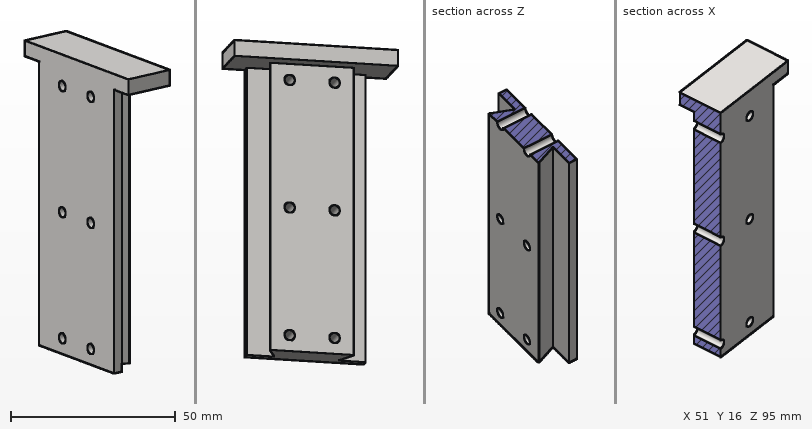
import cadquery as cq
import math

head_width = 51.0
head_depth = 16.0
head_height = 5.0

plate_width = 37.0
plate_thickness = 3.0
total_height = 95.0

rail_width = 26.0
rail_back = 10.5
rail_lip = 0.5
flank_angle = 67.5

hole_diameter = 3.2
hole_columns = 2
hole_rows = 3
column_spacing = 14.0
row_spacing = 40.0
bottom_row_height = 5.0


def make_head():
    return (
        cq.Workplane("XY")
        .workplane(offset=total_height - head_height)
        .rect(head_width, head_depth)
        .extrude(head_height)
        .translate((0, head_depth / 2, 0))
    )


def make_plate():
    return (
        cq.Workplane("XY")
        .rect(plate_width, plate_thickness)
        .extrude(total_height)
        .translate((0, plate_thickness / 2, 0))
    )


def make_rail():
    lip_start = rail_back - rail_lip
    flank_inset = (lip_start - plate_thickness) / math.tan(math.radians(flank_angle))
    outer = rail_width / 2
    neck = outer - flank_inset
    profile = [
        (-neck, plate_thickness),
        (-outer, lip_start),
        (-outer, rail_back),
        (outer, rail_back),
        (outer, lip_start),
        (neck, plate_thickness),
    ]
    return cq.Workplane("XY").polyline(profile).close().extrude(total_height)


def make_holes():
    middle_row_height = bottom_row_height + row_spacing * (hole_rows - 1) / 2
    return (
        cq.Workplane("XZ")
        .center(0, middle_row_height)
        .rarray(column_spacing, row_spacing, hole_columns, hole_rows)
        .circle(hole_diameter / 2)
        .extrude(-rail_back)
    )


result = make_head().union(make_plate()).union(make_rail()).cut(make_holes())